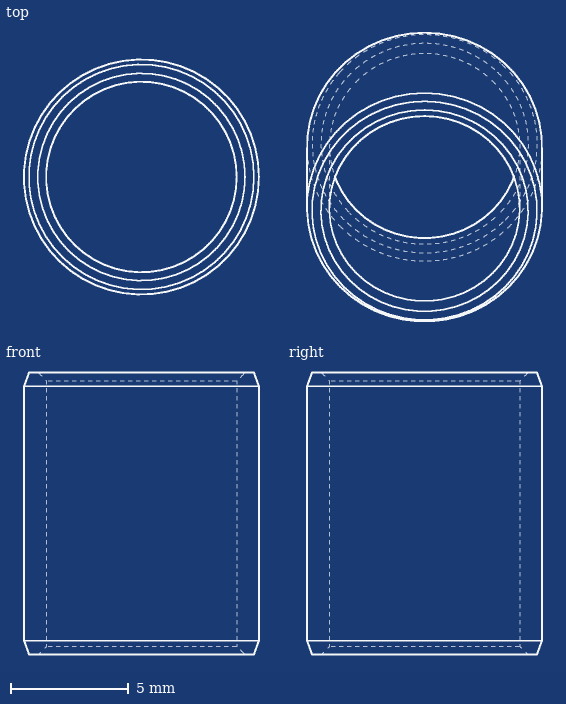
import cadquery as cq

length = 12.0
outer_diameter = 10.0
bore_diameter = 8.09
outer_chamfer_height = 0.6
outer_chamfer_width = 0.22
bore_chamfer = 0.36

outer_radius = outer_diameter / 2
bore_radius = bore_diameter / 2
half_length = length / 2

rim_outer_radius = outer_radius - outer_chamfer_width
rim_inner_radius = bore_radius + bore_chamfer
outer_wall_end = half_length - outer_chamfer_height
bore_wall_end = half_length - bore_chamfer

wall_section = (
    cq.Workplane("XZ")
    .moveTo(bore_radius, -bore_wall_end)
    .lineTo(rim_inner_radius, -half_length)
    .lineTo(rim_outer_radius, -half_length)
    .lineTo(outer_radius, -outer_wall_end)
    .lineTo(outer_radius, outer_wall_end)
    .lineTo(rim_outer_radius, half_length)
    .lineTo(rim_inner_radius, half_length)
    .lineTo(bore_radius, bore_wall_end)
    .close()
)

result = wall_section.revolve(360, (0, 0, 0), (0, 1, 0))